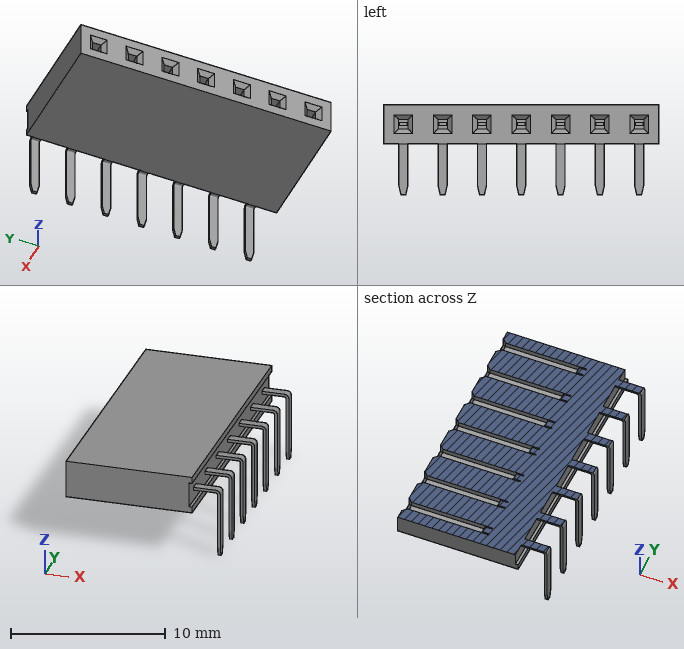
import cadquery as cq


contact_count = 7
pitch = 2.54
row_positions = [(i - (contact_count - 1) / 2) * pitch for i in range(contact_count)]

housing_length = 8.51
housing_width = contact_count * pitch
housing_height = pitch
rear_channel_depth = 0.2
rear_channel_height = 1.68

mouth_size = 1.2
socket_size = 0.6
mouth_depth = (mouth_size - socket_size) / 2
socket_depth = 6.0

overall_length = 10.13
overall_height = 5.84
contact_width = 0.6
contact_thickness = 0.2
nose_width = 0.5
nose_length = 0.5
bend_outer_radius = 0.3
bend_inner_radius = bend_outer_radius - contact_thickness
tail_tip_z = housing_height / 2 - overall_height
tail_tip_width = 0.32
tail_taper_length = 0.6


def make_housing():
    """Rectangular block with a shallow channel along the whole rear face."""
    block = cq.Workplane("XY").box(
        housing_length, housing_width, housing_height, centered=(False, True, True)
    )
    channel = (
        cq.Workplane("XY")
        .box(rear_channel_depth, housing_width, rear_channel_height, centered=(False, True, True))
        .translate((housing_length - rear_channel_depth, 0, 0))
    )
    return block.cut(channel)


def make_socket(y):
    """Square blind hole with a pyramidal lead-in at the mating face."""
    lead_in = (
        cq.Workplane("YZ")
        .center(y, 0)
        .rect(mouth_size, mouth_size)
        .workplane(offset=mouth_depth)
        .rect(socket_size, socket_size)
        .loft(ruled=True)
    )
    hole = cq.Workplane("YZ").center(y, 0).rect(socket_size, socket_size).extrude(socket_depth)
    return lead_in.union(hole)


def make_contact(y):
    """Flat strip from a narrow nose in the socket, out of the rear face and down to a tapered tip."""
    strip_top = contact_thickness / 2
    bend_x = overall_length - bend_outer_radius
    bend_z = strip_top - bend_outer_radius
    tail_inner_x = overall_length - contact_thickness
    half_width = contact_width / 2
    half_tip = tail_tip_width / 2
    taper_start_z = tail_tip_z + tail_taper_length

    side_profile = (
        cq.Workplane("XZ")
        .moveTo(socket_depth, strip_top)
        .lineTo(bend_x, strip_top)
        .radiusArc((overall_length, bend_z), bend_outer_radius)
        .lineTo(overall_length, tail_tip_z)
        .lineTo(tail_inner_x, tail_tip_z)
        .lineTo(tail_inner_x, bend_z)
        .radiusArc((bend_x, -strip_top), -bend_inner_radius)
        .lineTo(socket_depth, -strip_top)
        .close()
        .extrude(half_width, both=True)
    )
    width_profile = (
        cq.Workplane("YZ")
        .polyline([
            (-half_width, strip_top),
            (half_width, strip_top),
            (half_width, taper_start_z),
            (half_tip, tail_tip_z),
            (-half_tip, tail_tip_z),
            (-half_width, taper_start_z),
        ])
        .close()
        .extrude(overall_length)
    )
    nose = (
        cq.Workplane("XY")
        .box(nose_length, nose_width, contact_thickness, centered=(False, True, True))
        .translate((socket_depth - nose_length, 0, 0))
    )
    return side_profile.intersect(width_profile).union(nose).translate((0, y, 0))


result = make_housing()
for row_y in row_positions:
    result = result.cut(make_socket(row_y))
for row_y in row_positions:
    result = result.union(make_contact(row_y))